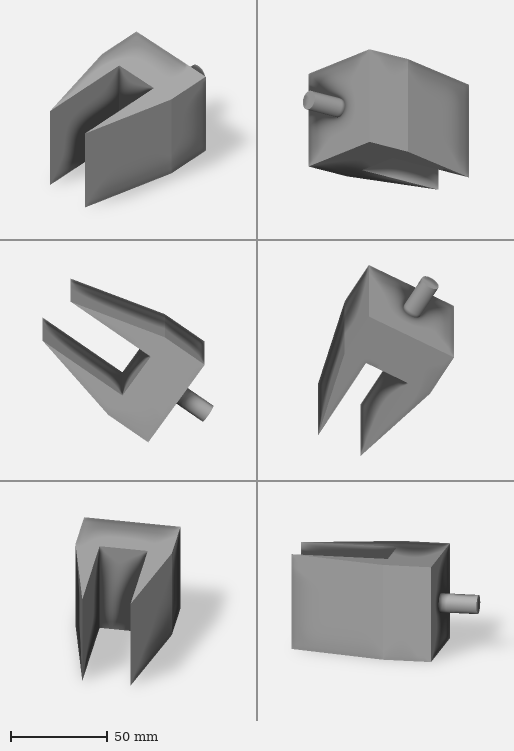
import cadquery as cq

body_width = 50.8
slot_width = body_width / 2
block_length = body_width / 2
jaw_length = body_width
pin_length = 20.0
pin_diameter = 10.0

half_width = body_width / 2
half_slot = slot_width / 2


def make_body():
    """Block with two jaws tapering to sharp tips, extruded along Z.

    The floor of the slot between the jaws lies at Y = 0.
    """
    outline = [
        (-half_width, block_length),
        (-half_width, 0),
        (-half_slot, -jaw_length),
        (-half_slot, 0),
        (half_slot, 0),
        (half_slot, -jaw_length),
        (half_width, 0),
        (half_width, block_length),
    ]
    return cq.Workplane("XY").polyline(outline).close().extrude(half_width, both=True)


def make_pin():
    """Round pin standing out from the centre of the back face."""
    back_face = cq.Workplane("XZ", origin=(0, block_length, 0))
    return back_face.circle(pin_diameter / 2).extrude(-pin_length)


result = make_body().union(make_pin())